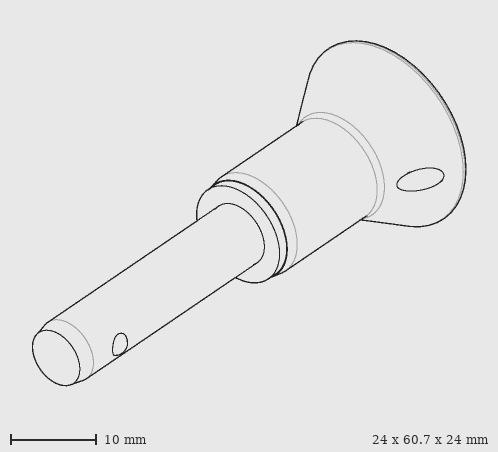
import cadquery as cq
import math


handle_length = 27.5
flange_diameter = 24.0
rim_round_radius = 0.5
flare_angle = math.radians(30)
sleeve_diameter = 13.3
neck_end = 17.4
neck_round_radius = 2.0
collar_diameter = 12.6
collar_length = 1.3
sleeve_taper_length = 1.5
sleeve_taper_depth = 0.25

shank_diameter = 8.0
shank_length = 33.2
tip_diameter = 7.2
tip_taper_length = 2.0

ball_diameter = 3.0
span_over_balls = 9.5
ball_distance = 26.4

ring_hole_diameter = 3.0
ring_hole_offset = 9.2


def point_on_round(center, radius, angle):
    """Point of a profile round, at an angle measured from the outward radial direction."""
    center_x, center_y = center
    return (center_x + radius * math.cos(angle), center_y + radius * math.sin(angle))


def make_handle():
    sleeve_radius = sleeve_diameter / 2
    collar_radius = collar_diameter / 2

    rim_center = (flange_diameter / 2 - rim_round_radius, handle_length - rim_round_radius)
    rim_start = point_on_round(rim_center, rim_round_radius, -flare_angle)
    rim_lower_middle = point_on_round(rim_center, rim_round_radius, -flare_angle / 2)
    rim_widest = point_on_round(rim_center, rim_round_radius, 0)
    rim_upper_middle = point_on_round(rim_center, rim_round_radius, math.pi / 4)
    rim_end = point_on_round(rim_center, rim_round_radius, math.pi / 2)

    neck_center = (sleeve_radius + neck_round_radius, neck_end)
    neck_middle = point_on_round(neck_center, neck_round_radius, math.pi - flare_angle / 2)
    neck_top = point_on_round(neck_center, neck_round_radius, math.pi - flare_angle)

    taper_top = collar_length + sleeve_taper_length
    return (
        cq.Workplane("XY")
        .lineTo(collar_radius, 0)
        .lineTo(collar_radius, collar_length)
        .lineTo(sleeve_radius - sleeve_taper_depth, collar_length)
        .lineTo(sleeve_radius, taper_top)
        .lineTo(sleeve_radius, neck_end)
        .threePointArc(neck_middle, neck_top)
        .lineTo(*rim_start)
        .threePointArc(rim_lower_middle, rim_widest)
        .threePointArc(rim_upper_middle, rim_end)
        .lineTo(0, handle_length)
        .close()
        .revolve(360, (0, 0, 0), (0, 1, 0))
    )


def make_shank():
    shank_radius = shank_diameter / 2
    tip_radius = tip_diameter / 2
    taper_top = tip_taper_length - shank_length
    return (
        cq.Workplane("XY")
        .lineTo(shank_radius, 0)
        .lineTo(shank_radius, taper_top)
        .lineTo(tip_radius, -shank_length)
        .lineTo(0, -shank_length)
        .close()
        .revolve(360, (0, 0, 0), (0, 1, 0))
    )


def make_balls():
    center_x = (span_over_balls - ball_diameter) / 2
    return (
        cq.Workplane("XY")
        .pushPoints([(-center_x, -ball_distance), (center_x, -ball_distance)])
        .sphere(ball_diameter / 2)
    )


def make_ring_hole():
    return (
        cq.Workplane("XZ")
        .center(ring_hole_offset, 0)
        .circle(ring_hole_diameter / 2)
        .extrude(-handle_length)
    )


result = make_handle().union(make_shank()).union(make_balls()).cut(make_ring_hole())